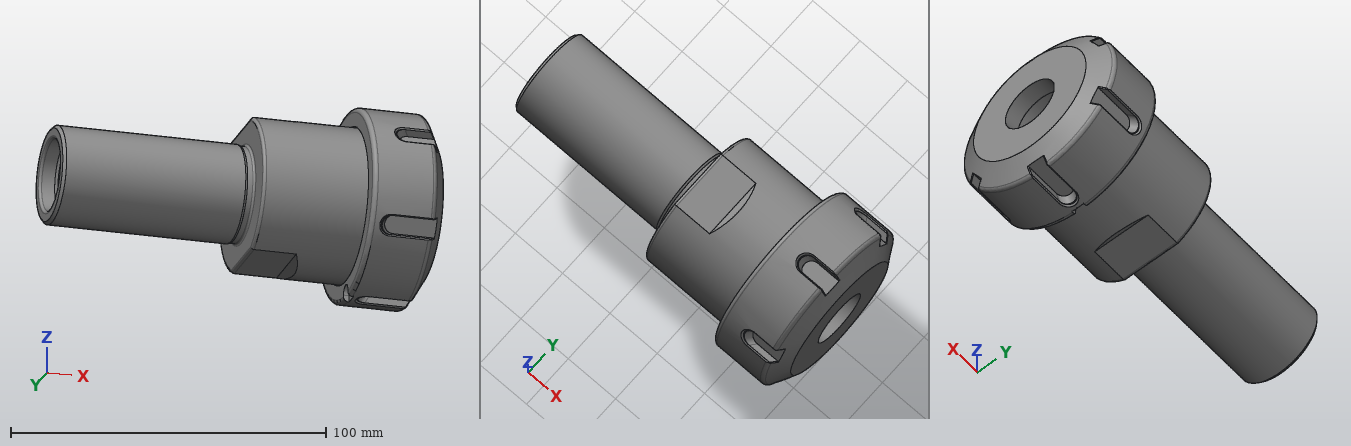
import cadquery as cq
import math

TOTAL_LENGTH = 123.5
BORE_RADIUS = 10.1

SHANK_RADIUS = 15.9
SHANK_CHAMFER = 1.0
COUNTERBORE_RADIUS = 11.6
COUNTERBORE_DEPTH = 5.2
COUNTERBORE_TAPER_LENGTH = 0.6
MOUTH_ROUND = 0.9
COLLAR_START = 63.5
COLLAR_RADIUS = 25.1
COLLAR_ROUND = 1.0
UNDERCUT_START = 60.3
UNDERCUT_DEPTH = 0.4
UNDERCUT_RAMP = 0.7
UNDERCUT_FILLET = 0.7

FLAT_HEIGHT = 22.5
FLAT_END = 78.4

NUT_START = 98.0
NUT_RADIUS = 31.5
NUT_BACK_ROUND = 1.5
NUT_CORNER_ROUND = 1.7
NUT_FRONT_WALL = 6.2
RECESS_CLEARANCE = 0.4
CONE_START = 118.8
CONE_ANGLE = 60.0
CONE_DROP = (TOTAL_LENGTH - CONE_START) * math.tan(math.radians(CONE_ANGLE))
NUT_FRONT_RADIUS = NUT_RADIUS - CONE_DROP
RECESS_END = TOTAL_LENGTH - NUT_FRONT_WALL

SLOT_HALF_WIDTH = 3.1
SLOT_FLOOR_RADIUS = 28.2
SLOT_END_LEAN = 1.9
SLOT_BEVEL = 0.6
SHORT_SLOT_START = 106.8
LONG_SLOT_START = 101.9
SLOT_STARTS = {
    30: SHORT_SLOT_START,
    90: SHORT_SLOT_START,
    150: SHORT_SLOT_START,
    210: LONG_SLOT_START,
    270: LONG_SLOT_START,
    330: LONG_SLOT_START,
}
CUT_MARGIN = 1.2

NOTCH_RADIUS = 2.5
NOTCH_BOTTOM_RADIUS = 26.8
NOTCH_DEPTH = 1.9


def cylinder(start, end, radius):
    """Solid cylinder along X."""
    return cq.Workplane("YZ", origin=(start, 0, 0)).circle(radius).extrude(end - start)


def revolve_about_x(points):
    """Solid of revolution about X from (x, radius) points."""
    return cq.Workplane("XY").polyline(points).close().revolve(360, (0, 0, 0), (1, 0, 0))


def make_turned_holder():
    undercut_radius = SHANK_RADIUS - UNDERCUT_DEPTH
    fillet_radius_at_collar = undercut_radius + UNDERCUT_FILLET
    return (
        cq.Workplane("XY")
        .moveTo(0, 0)
        .lineTo(0, SHANK_RADIUS - SHANK_CHAMFER)
        .lineTo(SHANK_CHAMFER, SHANK_RADIUS)
        .lineTo(UNDERCUT_START, SHANK_RADIUS)
        .lineTo(UNDERCUT_START + UNDERCUT_RAMP, undercut_radius)
        .lineTo(COLLAR_START - UNDERCUT_FILLET, undercut_radius)
        .radiusArc((COLLAR_START, fillet_radius_at_collar), -UNDERCUT_FILLET)
        .lineTo(COLLAR_START, COLLAR_RADIUS)
        .lineTo(RECESS_END, COLLAR_RADIUS)
        .lineTo(RECESS_END, 0)
        .close()
        .revolve(360, (0, 0, 0), (1, 0, 0))
    )


def make_flat_cutter():
    """Stock removed above the upper wrench flat."""
    top = COLLAR_RADIUS + CUT_MARGIN
    back = COLLAR_START - CUT_MARGIN
    ramp_end = FLAT_END + top - FLAT_HEIGHT
    outline = [(back, FLAT_HEIGHT), (FLAT_END, FLAT_HEIGHT), (ramp_end, top), (back, top)]
    return cq.Workplane("XZ").polyline(outline).close().extrude(COLLAR_RADIUS, both=True)


def make_holder_bore():
    """Through bore with a counterbore that has a round at its mouth and a tapered step."""
    mouth_radius = COUNTERBORE_RADIUS + MOUTH_ROUND
    return (
        cq.Workplane("XY")
        .moveTo(0, 0)
        .lineTo(0, mouth_radius)
        .radiusArc((MOUTH_ROUND, COUNTERBORE_RADIUS), -MOUTH_ROUND)
        .lineTo(COUNTERBORE_DEPTH, COUNTERBORE_RADIUS)
        .lineTo(COUNTERBORE_DEPTH + COUNTERBORE_TAPER_LENGTH, BORE_RADIUS)
        .lineTo(RECESS_END, BORE_RADIUS)
        .lineTo(RECESS_END, 0)
        .close()
        .revolve(360, (0, 0, 0), (1, 0, 0))
    )


def make_holder():
    holder = make_turned_holder()
    flat_cutter = make_flat_cutter()
    holder = holder.cut(flat_cutter).cut(flat_cutter.mirror("XY"))
    point_on_collar_face = (COLLAR_START, (SHANK_RADIUS + COLLAR_RADIUS) / 2, 0)
    collar_face = holder.faces(cq.selectors.NearestToPointSelector(point_on_collar_face))
    holder = collar_face.wires().first().edges().fillet(COLLAR_ROUND)
    return holder.cut(make_holder_bore())


def make_nut_blank():
    blank = revolve_about_x([
        (NUT_START, 0),
        (NUT_START, NUT_RADIUS),
        (CONE_START, NUT_RADIUS),
        (TOTAL_LENGTH, NUT_FRONT_RADIUS),
        (TOTAL_LENGTH, 0),
    ])
    blank = blank.faces("<X").edges().fillet(NUT_BACK_ROUND)
    corner = blank.faces("%CONE").edges("%CIRCLE").edges("<X")
    return corner.fillet(NUT_CORNER_ROUND)


def make_slot_walls(start):
    """Slot cutter at the top of the nut: flat floor, upright sides, leaning round end."""
    height = NUT_RADIUS - SLOT_FLOOR_RADIUS
    end = TOTAL_LENGTH + CUT_MARGIN
    top_center = start + SLOT_HALF_WIDTH
    floor_center = top_center + SLOT_END_LEAN
    round_end = (
        cq.Workplane("XY", origin=(floor_center, 0, SLOT_FLOOR_RADIUS))
        .circle(SLOT_HALF_WIDTH)
        .workplane(offset=height)
        .center(-SLOT_END_LEAN, 0)
        .circle(SLOT_HALF_WIDTH)
        .loft(ruled=True)
    )
    side = [
        (floor_center, SLOT_FLOOR_RADIUS),
        (end, SLOT_FLOOR_RADIUS),
        (end, NUT_RADIUS),
        (top_center, NUT_RADIUS),
    ]
    channel = cq.Workplane("XZ").polyline(side).close().extrude(SLOT_HALF_WIDTH, both=True)
    return channel.union(round_end)


def bevel_section(x, surface_radius):
    """Cross-section of the slot bevel: it widens up to the nut surface."""
    narrow = SLOT_HALF_WIDTH
    wide = SLOT_HALF_WIDTH + SLOT_BEVEL
    low = surface_radius - SLOT_BEVEL
    high = surface_radius + CUT_MARGIN
    outline = [
        (-narrow, low), (narrow, low), (wide, surface_radius),
        (wide, high), (-wide, high), (-wide, surface_radius),
    ]
    return cq.Wire.makePolygon([cq.Vector(x, y, z) for y, z in outline], close=True)


def make_slot_bevel(start):
    """Bevel around the slot rim, following the cylinder and then the cone of the nut."""
    center = start + SLOT_HALF_WIDTH
    along_cylinder = cq.Solid.makeLoft(
        [bevel_section(center, NUT_RADIUS), bevel_section(CONE_START, NUT_RADIUS)], True
    )
    along_cone = cq.Solid.makeLoft(
        [bevel_section(CONE_START, NUT_RADIUS), bevel_section(TOTAL_LENGTH, NUT_FRONT_RADIUS)], True
    )
    round_end = cq.Solid.makeCone(
        SLOT_HALF_WIDTH,
        SLOT_HALF_WIDTH + SLOT_BEVEL,
        SLOT_BEVEL,
        pnt=cq.Vector(center, 0, NUT_RADIUS - SLOT_BEVEL),
    )
    above_floor = cq.Workplane("XY").box(
        TOTAL_LENGTH, 2 * NUT_RADIUS, NUT_RADIUS, centered=(False, True, False)
    ).translate((0, 0, SLOT_FLOOR_RADIUS))
    bevel = cq.Workplane(obj=along_cylinder).union(cq.Workplane(obj=along_cone))
    return bevel.union(cq.Workplane(obj=round_end)).intersect(above_floor)


def make_notch_cutter():
    """Radial notch with a round bottom, sunk into the back face of the nut."""
    arc_center = -NOTCH_BOTTOM_RADIUS - NOTCH_RADIUS
    outer = -NUT_RADIUS - CUT_MARGIN
    return (
        cq.Workplane("YZ", origin=(NUT_START, 0, 0))
        .moveTo(-NOTCH_RADIUS, outer)
        .lineTo(-NOTCH_RADIUS, arc_center)
        .threePointArc((0, -NOTCH_BOTTOM_RADIUS), (NOTCH_RADIUS, arc_center))
        .lineTo(NOTCH_RADIUS, outer)
        .close()
        .extrude(NOTCH_DEPTH)
    )


def make_nut():
    nut = make_nut_blank()
    nut = nut.cut(cylinder(NUT_START, RECESS_END, COLLAR_RADIUS + RECESS_CLEARANCE))
    nut = nut.cut(cylinder(RECESS_END, TOTAL_LENGTH, BORE_RADIUS))
    for angle, start in SLOT_STARTS.items():
        turn_from_top = angle - 90
        for cutter in (make_slot_walls(start), make_slot_bevel(start)):
            nut = nut.cut(cutter.rotate((0, 0, 0), (1, 0, 0), turn_from_top))
    return nut.cut(make_notch_cutter())


holder = make_holder()
nut = make_nut()

result = cq.Compound.makeCompound([holder.val(), nut.val()])